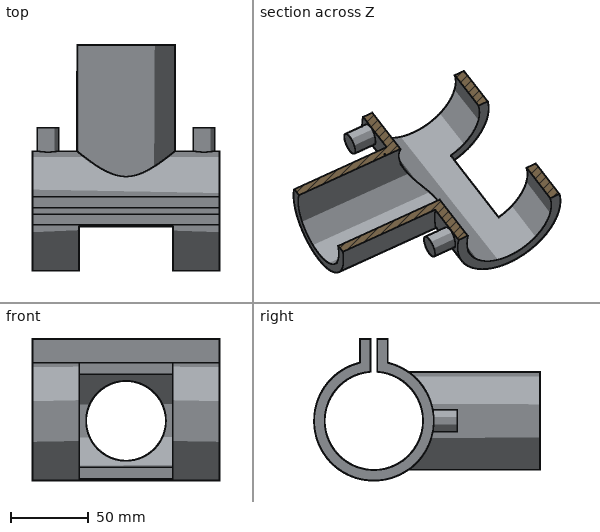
import cadquery as cq

clamp_length = 120.0
wall = 7.0
bore_radius = 31.5
ring_radius = 38.4

lug_top = 52.5
split_width = 4.0
lugs_width = split_width + 2 * wall

window_length = clamp_length / 2
window_back = -10.0

branch_radius = bore_radius
branch_bore_radius = 25.5
overall_depth = 145.0
branch_end = overall_depth - ring_radius
peg_radius = 14.0 / 2
peg_spacing = 100.0
peg_end = 53.5


def cylinder_along_x(radius):
    """Cylinder over the full clamp length, centred on the origin."""
    return cq.Workplane("YZ").circle(radius).extrude(clamp_length / 2, both=True)


def cylinder_along_y(radius, end, x=0):
    """Cylinder from the ring axis out to y = end."""
    return cq.Workplane("XZ").center(x, 0).circle(radius).extrude(-end)


def upright_block(width):
    """Block over the full clamp length, from the ring axis to the lug tops."""
    return cq.Workplane("XY").box(clamp_length, width, lug_top, centered=(True, True, False))


body = cylinder_along_x(ring_radius).union(upright_block(lugs_width))
body = body.union(cylinder_along_y(branch_radius, branch_end))
for peg_x in (-peg_spacing / 2, peg_spacing / 2):
    body = body.union(cylinder_along_y(peg_radius, peg_end, peg_x))

body = body.cut(cylinder_along_x(bore_radius))
body = body.cut(cylinder_along_y(branch_bore_radius, branch_end))
body = body.cut(upright_block(split_width))

window_depth = ring_radius + window_back
window = cq.Workplane("XY").box(window_length, window_depth, 2 * ring_radius)
window = window.translate((0, window_back - window_depth / 2, 0))

result = body.cut(window)